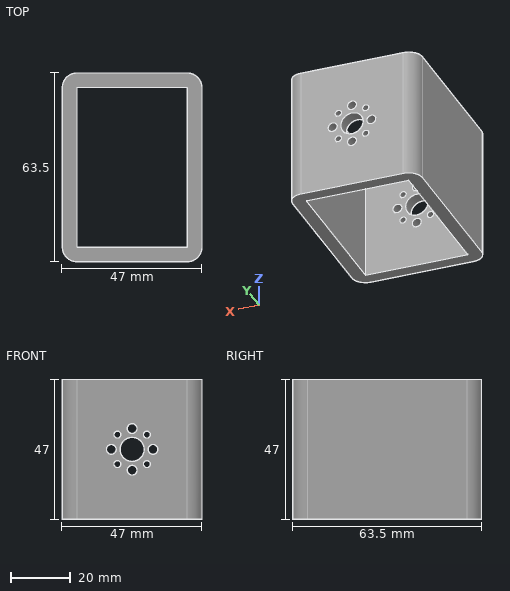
import cadquery as cq
import math

width = 47.0
depth = 63.5
height = 47.0
wall = 5.0
corner_radius = wall

center_hole_diameter = 8.0
bolt_circle_radius = 7.0
large_hole_diameter = 3.2
small_hole_diameter = 2.25
holes_per_set = 4


def make_tube():
    """Tube with rounded outer corners and a sharp-cornered rectangular opening."""
    outer = cq.Workplane("XY").box(width, depth, height, centered=(True, True, False))
    outer = outer.edges("|Z").fillet(corner_radius)
    opening = cq.Workplane("XY").rect(width - 2 * wall, depth - 2 * wall).extrude(height)
    return outer.cut(opening)


def through_holes(points, diameter):
    """Cylinders along Y, long enough to pierce both end walls."""
    pattern_plane = cq.Workplane("XZ", origin=(0, 0, height / 2))
    return pattern_plane.pushPoints(points).circle(diameter / 2).extrude(depth / 2, both=True)


def bolt_circle_points(start_angle):
    """Evenly spaced points on the bolt circle, starting at an angle in degrees."""
    angles = [math.radians(start_angle + i * 360 / holes_per_set) for i in range(holes_per_set)]
    return [(bolt_circle_radius * math.cos(a), bolt_circle_radius * math.sin(a)) for a in angles]


result = make_tube()
result = result.cut(through_holes([(0, 0)], center_hole_diameter))
result = result.cut(through_holes(bolt_circle_points(0), large_hole_diameter))
result = result.cut(through_holes(bolt_circle_points(180 / holes_per_set), small_hole_diameter))